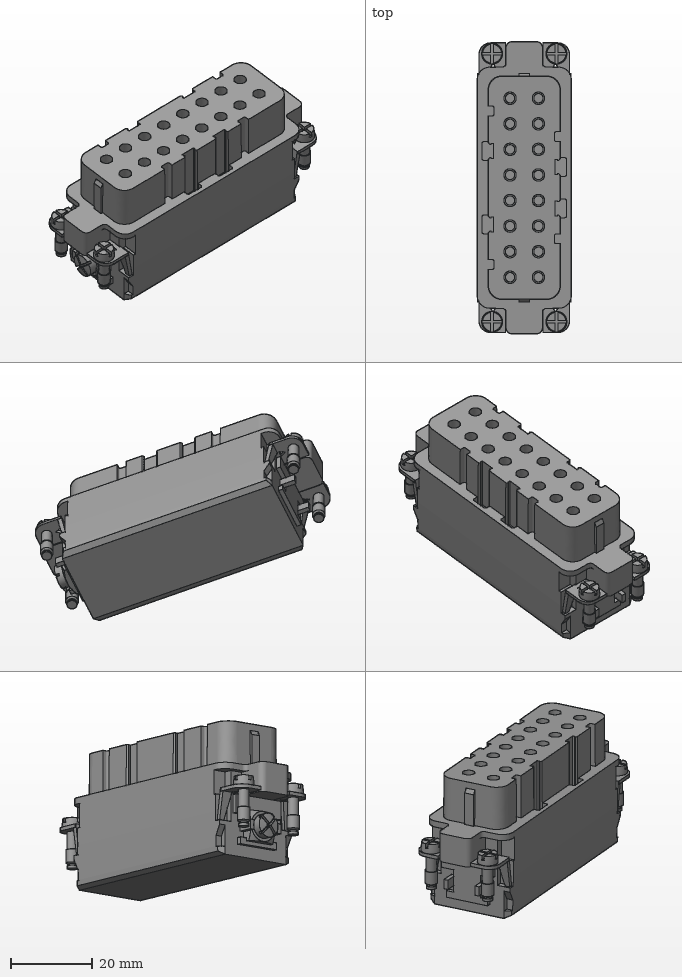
import cadquery as cq
import math

WIDTH = 23.2
LENGTH = 72.0
HEIGHT = 34.1
HALF_WIDTH = WIDTH / 2
HALF_LENGTH = LENGTH / 2

BODY_END = 28.1
BODY_HALF_WIDTH = HALF_WIDTH
PARTING_Z = 10.7
DRAFT_END_Z = 2.0
DRAFT_END_HALF_WIDTH = 11.4
EDGE_Z = 0.75
EDGE_HALF_WIDTH = 11.3
FLOOR_HALF_WIDTH = 9.75

FLANGE_TOP = 22.9
FLANGE_THICKNESS = 1.6
FLANGE_BOTTOM = FLANGE_TOP - FLANGE_THICKNESS
FLANGE_END = 29.7
FLANGE_CORNER_RADIUS = 3.1
EAR_HALF_WIDTH = 4.53
EAR_BOTTOM = 15.35
EAR_TIP_RADIUS = 1.5
EAR_ROOT_RADIUS = 1.0

INSERT_HALF_WIDTH = 8.9
INSERT_HALF_LENGTH = 27.54
INSERT_CORNER_RADIUS = 3.4
INSERT_DRAFT = 0.4
INSERT_HEIGHT = HEIGHT - FLANGE_TOP

RIB_HALF_WIDTH = 1.25
RIB_TOP = 32.4
RIB_BEVEL = 1.1
RIB_EMBEDDING = 1.0

CONTACT_ROWS = 8
CONTACT_PITCH = 6.3
CONTACT_COLUMN_X = 3.5
CONTACT_DIAMETER = 3.05
CONTACT_DEPTH = 8.0
SOCKET_DIAMETER = 2.3
SOCKET_DEPTH = 20.0

NARROW_SLOT_WIDTH = 2.4
NARROW_SLOT_FLOOR_X = 7.45
NARROW_SLOT_RADIUS = 0.4
WIDE_SLOT_WIDTH = 3.7
WIDE_SLOT_NECK_WIDTH = 3.3
WIDE_SLOT_NECK_X = 8.25
WIDE_SLOT_FLOOR_X = 7.62
WIDE_SLOT_MOUTH = 0.45
SLOT_NOTCH_WIDTH = 4.6
SLOT_NOTCH_X = 10.4
SLOT_NOTCH_DEPTH = 3.0
SLOT_NOTCH_RADIUS = 0.45
LEFT_NARROW_Y = 18.9
LEFT_WIDE_Y = 9.05
RIGHT_NARROW_Y = 12.6
RIGHT_WIDE_Y = 5.1

SCREW_X = 7.93
SCREW_Y = 33.03
POCKET_FLOOR_Z = 8.5
POCKET_STEP_Z = 15.2
POCKET_LOWER_Y = 26.6
POCKET_UPPER_Y = 25.9
FOOT_NOTCH_X = FLOOR_HALF_WIDTH
FOOT_NOTCH_SLOPE_Z = 4.75
FOOT_NOTCH_TOP_Z = 7.35
FOOT_BEVEL_Y = 27.05

END_PLATE_Y = 29.22
END_PLATE_HALF_WIDTH = 7.2
LIP_HALF_WIDTH = 5.8
LIP_BOTTOM = 3.0
LIP_TOP = 4.75
PRONG_HALF_SPAN = 4.95
PRONG_END = 32.0
PRONG_BOTTOM = 6.45
PRONG_TOP = 8.9

TERMINAL_Z = 7.8
TERMINAL_SIZE = 7.65
TERMINAL_FACE = 30.95
TERMINAL_FACE_RADIUS = 3.75
TERMINAL_CONE_SLOPE = 28
TERMINAL_HEAD_RADIUS = 3.0
TERMINAL_HEAD_RIM = 33.1
TERMINAL_HEAD_PEAK = 33.55
TERMINAL_SLOT_WIDTH = 0.6
TERMINAL_SLOT_DEPTH = 0.9

TAB_INNER_X = 4.58
TAB_OUTER_X = 11.2
TAB_INNER_Y = 28.0
TAB_OUTER_Y = 35.72
TAB_BOTTOM = 15.65
TAB_TOP = 16.55
TAB_RADIUS = 3.0
NICK_X = 7.7
NICK_APEX_Y = 30.7
NICK_BASE_Y = 29.3
NICK_HALF_WIDTH = 0.75
LEG_TOP_Y = 28.85
LEG_FOOT_Y = 27.55
LEG_OUTER_X = 11.1
LEG_TOP_INNER_X = 8.0
LEG_FOOT_INNER_X = 9.8
LEG_THICKNESS = 1.0

SCREW_TIP_Z = 6.45
SCREW_NECK_Z = 7.15
SCREW_COLLAR_Z = 7.55
SCREW_SLEEVE_Z = 7.9
SCREW_SHAFT_Z = 11.2
SCREW_HEAD_TOP = 18.95
SCREW_TIP_RADIUS = 1.25
SCREW_NECK_RADIUS = 1.1
SCREW_SLEEVE_RADIUS = 1.57
SCREW_SHAFT_RADIUS = 1.35
SCREW_HEAD_RADIUS = 2.58
SCREW_HEAD_TOP_RADIUS = 2.35
SCREW_HEAD_CROWN = 0.05
SCREW_SLOT_WIDTH = 0.65
SCREW_SLOT_DEPTH = 1.1


def block(x0, x1, y0, y1, z0, z1):
    """Box between two opposite corners."""
    return cq.Workplane("XY").box(x1 - x0, y1 - y0, z1 - z0, centered=False).translate((x0, y0, z0))


def at_both_ends(shape):
    """The shape of the +Y end together with its mirror image at the -Y end."""
    return shape.union(shape.mirror("XZ"))


def at_four_corners(shape):
    """The shape of the +X +Y corner repeated at all four corners."""
    return at_both_ends(shape.union(shape.mirror("YZ")))


def make_housing():
    """Lower and upper housing, drafted below the parting line and bevelled at the bottom."""
    half_section = [
        (FLOOR_HALF_WIDTH, 0),
        (EDGE_HALF_WIDTH, EDGE_Z),
        (DRAFT_END_HALF_WIDTH, DRAFT_END_Z),
        (BODY_HALF_WIDTH, PARTING_Z),
        (BODY_HALF_WIDTH, FLANGE_BOTTOM),
    ]
    other_half = [(-x, z) for x, z in reversed(half_section)]
    housing = (
        cq.Workplane("XZ").polyline(half_section + other_half).close()
        .extrude(BODY_END, both=True)
    )
    bar_end = FLANGE_END - FLANGE_CORNER_RADIUS
    bar = block(-HALF_WIDTH, HALF_WIDTH, -bar_end, bar_end, PARTING_Z, FLANGE_TOP)
    return housing.union(bar)


def make_flange():
    """Flange plate with a deep ear at each end."""
    plate = (
        cq.Workplane("XY").workplane(offset=FLANGE_BOTTOM)
        .rect(WIDTH, 2 * FLANGE_END).extrude(FLANGE_THICKNESS)
        .edges("|Z").fillet(FLANGE_CORNER_RADIUS)
    )
    ear = block(-EAR_HALF_WIDTH, EAR_HALF_WIDTH, BODY_END, HALF_LENGTH, EAR_BOTTOM, FLANGE_TOP)
    ear = ear.edges("|Z and >Y").fillet(EAR_TIP_RADIUS)
    root_x = EAR_HALF_WIDTH + EAR_ROOT_RADIUS
    root_y = FLANGE_END + EAR_ROOT_RADIUS
    root = block(EAR_HALF_WIDTH, root_x, FLANGE_END, root_y, FLANGE_BOTTOM, FLANGE_TOP)
    round_cut = (
        cq.Workplane("XY").workplane(offset=FLANGE_BOTTOM)
        .center(root_x, root_y).circle(EAR_ROOT_RADIUS).extrude(FLANGE_THICKNESS)
    )
    return plate.union(at_both_ends(ear)).union(at_four_corners(root.cut(round_cut)))


def corner_pocket():
    """Stepped pocket under the flange corner that receives the screw bracket."""
    lower = block(SCREW_X, WIDTH, POCKET_LOWER_Y, HALF_LENGTH, POCKET_FLOOR_Z, POCKET_STEP_Z)
    upper = block(SCREW_X, WIDTH, POCKET_UPPER_Y, HALF_LENGTH, POCKET_STEP_Z, FLANGE_BOTTOM)
    return lower.union(upper)


def foot_notch():
    """Notch low on the corner with a sloping roof, and the bevelled corner under it."""
    notch = (
        cq.Workplane("YZ").workplane(offset=FOOT_NOTCH_X)
        .moveTo(POCKET_LOWER_Y, DRAFT_END_Z)
        .lineTo(BODY_END, DRAFT_END_Z)
        .lineTo(BODY_END, FOOT_NOTCH_TOP_Z)
        .lineTo(POCKET_LOWER_Y, FOOT_NOTCH_SLOPE_Z)
        .close().extrude(HALF_WIDTH)
    )
    bevel = (
        cq.Workplane("XY")
        .moveTo(FOOT_NOTCH_X, BODY_END)
        .lineTo(DRAFT_END_HALF_WIDTH, FOOT_BEVEL_Y)
        .lineTo(DRAFT_END_HALF_WIDTH, BODY_END)
        .close().extrude(DRAFT_END_Z)
    )
    return notch.union(bevel)


def make_insert():
    """Drafted contact block with a bevelled guide rib on each end."""
    insert = (
        cq.Workplane("XY").workplane(offset=FLANGE_TOP)
        .sketch().rect(2 * INSERT_HALF_WIDTH, 2 * INSERT_HALF_LENGTH)
        .vertices().fillet(INSERT_CORNER_RADIUS).finalize()
        .extrude(INSERT_HEIGHT, taper=INSERT_DRAFT)
    )
    rib_root = INSERT_HALF_LENGTH - RIB_EMBEDDING
    insert_face_y = INSERT_HALF_LENGTH - (RIB_TOP - FLANGE_TOP) * math.tan(math.radians(INSERT_DRAFT))
    rib = (
        cq.Workplane("YZ")
        .moveTo(rib_root, FLANGE_TOP)
        .lineTo(BODY_END, FLANGE_TOP)
        .lineTo(BODY_END, RIB_TOP - RIB_BEVEL)
        .lineTo(insert_face_y, RIB_TOP)
        .lineTo(rib_root, RIB_TOP)
        .close().extrude(RIB_HALF_WIDTH, both=True)
    )
    return insert.union(at_both_ends(rib))


def contact_holes():
    """Two columns of stepped contact holes."""
    centres = cq.Workplane("XY").workplane(offset=HEIGHT).rarray(
        2 * CONTACT_COLUMN_X, CONTACT_PITCH, 2, CONTACT_ROWS
    )
    entries = centres.circle(CONTACT_DIAMETER / 2).extrude(-CONTACT_DEPTH)
    sockets = centres.circle(SOCKET_DIAMETER / 2).extrude(-SOCKET_DEPTH)
    return entries.union(sockets)


def narrow_slot(y):
    """Slot with rounded inner corners in the +X side of the insert."""
    half = NARROW_SLOT_WIDTH / 2
    slot = block(NARROW_SLOT_FLOOR_X, HALF_WIDTH, y - half, y + half, FLANGE_TOP, HEIGHT)
    return slot.edges("|Z and <X").fillet(NARROW_SLOT_RADIUS)


def wide_slot(y):
    """Slot with a narrower, bevelled mouth in the +X side of the insert, carried down into the flange."""
    half = WIDE_SLOT_WIDTH / 2
    neck_half = WIDE_SLOT_NECK_WIDTH / 2
    mouth_x = INSERT_HALF_WIDTH
    bevel_x = mouth_x - WIDE_SLOT_MOUTH
    mouth_half = neck_half + WIDE_SLOT_MOUTH
    notch_floor = FLANGE_TOP - SLOT_NOTCH_DEPTH
    half_outline = [
        (WIDE_SLOT_FLOOR_X, half),
        (WIDE_SLOT_NECK_X, half),
        (WIDE_SLOT_NECK_X, neck_half),
        (bevel_x, neck_half),
        (mouth_x, mouth_half),
    ]
    other_half = [(x, -dy) for x, dy in reversed(half_outline)]
    slot = (
        cq.Workplane("XY", origin=(0, y, notch_floor))
        .polyline(half_outline + other_half).close().extrude(HEIGHT - notch_floor)
    )
    notch_half = SLOT_NOTCH_WIDTH / 2
    notch = block(mouth_x, SLOT_NOTCH_X, y - notch_half, y + notch_half, notch_floor, FLANGE_TOP)
    return slot.union(notch.edges("|Z and >X").fillet(SLOT_NOTCH_RADIUS))


def coding_slots():
    """Slots of both sides; the left and right sides carry different positions."""
    left = narrow_slot(LEFT_NARROW_Y).union(wide_slot(LEFT_WIDE_Y)).mirror("YZ")
    right = narrow_slot(RIGHT_NARROW_Y).union(wide_slot(RIGHT_WIDE_Y))
    return at_both_ends(left.union(right))


def end_details():
    """Raised plate, lip and terminal prongs of the +Y end face."""
    upper = block(-END_PLATE_HALF_WIDTH, END_PLATE_HALF_WIDTH, BODY_END, END_PLATE_Y, PARTING_Z, EAR_BOTTOM)
    half = TERMINAL_SIZE / 2
    middle = block(-half, half, BODY_END, END_PLATE_Y, LIP_TOP, PARTING_Z)
    lip = block(-LIP_HALF_WIDTH, LIP_HALF_WIDTH, BODY_END, END_PLATE_Y, LIP_BOTTOM, LIP_TOP)
    prong = block(half, PRONG_HALF_SPAN, BODY_END, PRONG_END, PRONG_BOTTOM, PRONG_TOP)
    return upper.union(middle).union(lip).union(prong).union(prong.mirror("YZ"))


def earth_terminal():
    """Square clamp with cone-cut corners and a cross-slotted screw head, facing -Y."""
    clamp_depth = TERMINAL_FACE - END_PLATE_Y
    cone_flare = clamp_depth / math.tan(math.radians(TERMINAL_CONE_SLOPE))
    face = cq.Workplane("XZ", origin=(0, -END_PLATE_Y, TERMINAL_Z))
    clamp = face.rect(TERMINAL_SIZE, TERMINAL_SIZE).extrude(clamp_depth)
    profile = [
        (0, TERMINAL_FACE),
        (TERMINAL_FACE_RADIUS, TERMINAL_FACE),
        (TERMINAL_FACE_RADIUS + cone_flare, END_PLATE_Y),
        (0, END_PLATE_Y),
    ]
    axis_plane = cq.Workplane("XY", origin=(0, 0, TERMINAL_Z))
    cone = axis_plane.polyline([(r, -y) for r, y in profile]).close().revolve(360, (0, 0), (0, 1))
    head_profile = [
        (0, TERMINAL_HEAD_PEAK),
        (TERMINAL_HEAD_RADIUS, TERMINAL_HEAD_RIM),
        (TERMINAL_HEAD_RADIUS, TERMINAL_FACE),
        (0, TERMINAL_FACE),
    ]
    head = axis_plane.polyline([(r, -y) for r, y in head_profile]).close().revolve(360, (0, 0), (0, 1))
    slot_floor = TERMINAL_HEAD_RIM - TERMINAL_SLOT_DEPTH
    slot_plane = cq.Workplane("XZ", origin=(0, -slot_floor, TERMINAL_Z))
    for angle in (45, 135):
        slot = slot_plane.transformed(rotate=(0, 0, angle)).rect(
            2 * TERMINAL_HEAD_RADIUS, TERMINAL_SLOT_WIDTH
        ).extrude(TERMINAL_HEAD_PEAK - slot_floor)
        head = head.cut(slot)
    return clamp.intersect(cone).union(head)


def screw_bracket():
    """Round-cornered tab with a V nick and a tapered, sloping leg at the +X +Y corner."""
    tab = block(TAB_INNER_X, TAB_OUTER_X, TAB_INNER_Y, TAB_OUTER_Y, TAB_BOTTOM, TAB_TOP)
    tab = tab.edges("|Z and >X and >Y").fillet(TAB_RADIUS)
    nick = (
        cq.Workplane("XY").workplane(offset=TAB_BOTTOM)
        .moveTo(NICK_X, NICK_APEX_Y)
        .lineTo(NICK_X - NICK_HALF_WIDTH, NICK_BASE_Y)
        .lineTo(NICK_X + NICK_HALF_WIDTH, NICK_BASE_Y)
        .close().extrude(TAB_TOP - TAB_BOTTOM)
    )
    leg_side = (
        cq.Workplane("YZ")
        .moveTo(LEG_TOP_Y, TAB_BOTTOM)
        .lineTo(LEG_FOOT_Y, POCKET_FLOOR_Z)
        .lineTo(POCKET_LOWER_Y, POCKET_FLOOR_Z)
        .lineTo(LEG_TOP_Y - LEG_THICKNESS, TAB_TOP)
        .lineTo(LEG_TOP_Y, TAB_TOP)
        .close().extrude(HALF_WIDTH)
    )
    leg_front = (
        cq.Workplane("XZ")
        .moveTo(LEG_OUTER_X, POCKET_FLOOR_Z)
        .lineTo(LEG_OUTER_X, TAB_TOP)
        .lineTo(LEG_TOP_INNER_X, TAB_TOP)
        .lineTo(LEG_FOOT_INNER_X, POCKET_FLOOR_Z)
        .close().extrude(-HALF_LENGTH)
    )
    return tab.cut(nick).union(leg_side.intersect(leg_front))


def mounting_screw():
    """Captive screw with a cross-slotted, crowned head at the +X +Y corner."""
    shank = [
        (0, SCREW_TIP_Z),
        (SCREW_TIP_RADIUS, SCREW_TIP_Z),
        (SCREW_TIP_RADIUS, SCREW_NECK_Z),
        (SCREW_NECK_RADIUS, SCREW_NECK_Z),
        (SCREW_NECK_RADIUS, SCREW_COLLAR_Z),
        (SCREW_SLEEVE_RADIUS, SCREW_SLEEVE_Z),
        (SCREW_SLEEVE_RADIUS, SCREW_SHAFT_Z),
        (SCREW_SHAFT_RADIUS, SCREW_SHAFT_Z),
        (SCREW_SHAFT_RADIUS, TAB_TOP),
        (SCREW_HEAD_RADIUS, TAB_TOP),
    ]
    crown_radius = (SCREW_HEAD_RADIUS + SCREW_HEAD_TOP_RADIUS) / 2 + SCREW_HEAD_CROWN
    crown_z = (TAB_TOP + SCREW_HEAD_TOP) / 2
    screw = (
        cq.Workplane("YZ", origin=(SCREW_X, SCREW_Y, 0))
        .polyline(shank)
        .threePointArc((crown_radius, crown_z), (SCREW_HEAD_TOP_RADIUS, SCREW_HEAD_TOP))
        .lineTo(0, SCREW_HEAD_TOP)
        .close().revolve(360, (0, 0), (0, 1))
    )
    slot_plane = cq.Workplane("XY", origin=(SCREW_X, SCREW_Y, SCREW_HEAD_TOP))
    slot_length = 2 * SCREW_HEAD_RADIUS
    for size_x, size_y in ((slot_length, SCREW_SLOT_WIDTH), (SCREW_SLOT_WIDTH, slot_length)):
        screw = screw.cut(slot_plane.rect(size_x, size_y).extrude(-SCREW_SLOT_DEPTH))
    return screw


body = make_housing().union(make_flange())
body = body.cut(at_four_corners(corner_pocket().union(foot_notch())))
body = body.union(make_insert()).cut(contact_holes()).cut(coding_slots())
body = body.union(at_both_ends(end_details())).union(earth_terminal())
result = body.union(at_four_corners(screw_bracket().union(mounting_screw())))